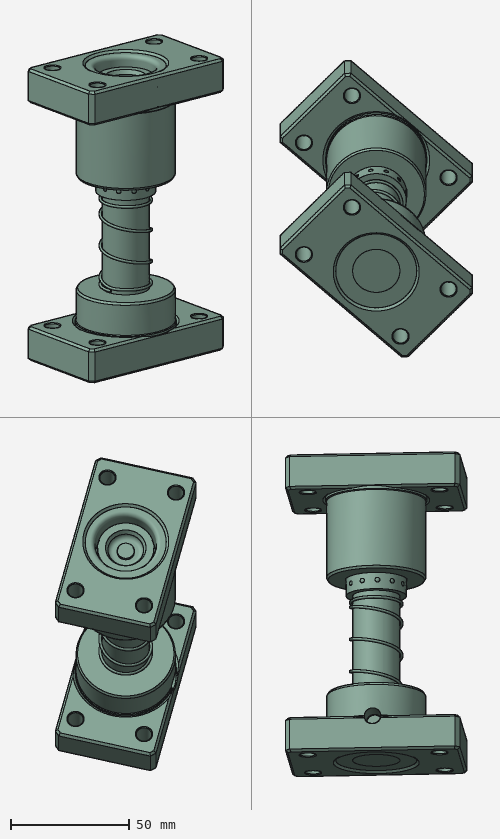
import cadquery as cq
import math

HEIGHT = 130.0
OVERLAP = 1.3

PLATE_WIDTH = 44.0
PLATE_LENGTH = 74.1
PLATE_THICKNESS = 15.1
PLATE_ANGLE = 23.4
CORNER_CHAMFER = 2.0
EDGE_CHAMFER = 1.0
LIP_THICKNESS = 5.2
HOLE_MOUTH_CHAMFER = 1.2
BOLT_SPACING_X = 29.9
BOLT_SPACING_Y = 55.9
BOLT_RADIUS = 3.2
BOLT_CHAMFER = 0.4

POST_RADIUS = 10.0
BODY_RADIUS = 21.0
NECK_RADIUS = 17.2
BODY_CHAMFER_HEIGHT = 1.0
BODY_CHAMFER_WIDTH = 0.6
COLLAR_TOP = 29.9
SLEEVE_BOTTOM = 80.0
FLANGE_RADIUS = 21.5
SLEEVE_FLANGE_PROUD = 0.4
FLARE_HEIGHT = 0.4
BORE_RADIUS = 13.0
BORE_ROUNDING = 2.0
NECK_RECESS = EDGE_CHAMFER

RADIAL_HOLE_RADIUS = 3.5
RADIAL_HOLE_FLOOR = 8.7

CAP_RADIUS = 12.0
CAP_TOP = 124.3
CAP_BOTTOM = 119.1
DISH_MOUTH_RADIUS = 8.6
DISH_WALL_RADIUS = 7.5
DISH_WALL_DEPTH = 1.8
DISH_FLOOR_RADIUS = 5.5
DISH_FLOOR_DEPTH = DISH_WALL_DEPTH + DISH_WALL_RADIUS - DISH_FLOOR_RADIUS
SCREW_RADIUS = 3.6
SCREW_RISE = 1.3
SCREW_DEPTH = 10.4

CAGE_RADIUS = 12.7
CAGE_BOTTOM = 72.9
BALL_COUNT = 12
BALL_RADIUS = 1.4
BALL_CIRCLE_RADIUS = 11.7
BALL_HEIGHT = 3.9

SPRING_RADIUS = 10.8
WIRE_RADIUS = 0.58
ACTIVE_TOP = 68.9
ACTIVE_BOTTOM = 32.5
ACTIVE_PITCH = 14.0
CLOSED_PITCH = 1.3
SPRING_START_ANGLE = 95.0
SPANS_PER_TURN = 12


def cylinder(radius, bottom, top):
    return cq.Workplane("XY").workplane(offset=bottom).circle(radius).extrude(top - bottom)


def revolved(profile):
    """Turn a half profile in the XZ plane about the Z axis."""
    return profile.close().revolve(360, (0, 0, 0), (0, 1, 0))


def make_plate():
    """Plate resting on z = 0, its stepped hole opening wide at the top face."""
    plate = (
        cq.Workplane("XY")
        .rect(PLATE_WIDTH, PLATE_LENGTH)
        .extrude(PLATE_THICKNESS)
        .edges("|Z")
        .chamfer(CORNER_CHAMFER)
        .faces("<Z or >Z")
        .edges()
        .chamfer(EDGE_CHAMFER)
    )
    hole = revolved(
        cq.Workplane("XZ")
        .lineTo(NECK_RADIUS + EDGE_CHAMFER, 0)
        .lineTo(NECK_RADIUS, EDGE_CHAMFER)
        .lineTo(NECK_RADIUS, LIP_THICKNESS)
        .lineTo(FLANGE_RADIUS, LIP_THICKNESS)
        .lineTo(FLANGE_RADIUS, PLATE_THICKNESS - HOLE_MOUTH_CHAMFER)
        .lineTo(FLANGE_RADIUS + HOLE_MOUTH_CHAMFER, PLATE_THICKNESS)
        .lineTo(0, PLATE_THICKNESS)
    )
    bolt_hole = revolved(
        cq.Workplane("XZ")
        .lineTo(BOLT_RADIUS + BOLT_CHAMFER, 0)
        .lineTo(BOLT_RADIUS, BOLT_CHAMFER)
        .lineTo(BOLT_RADIUS, PLATE_THICKNESS - BOLT_CHAMFER)
        .lineTo(BOLT_RADIUS + BOLT_CHAMFER, PLATE_THICKNESS)
        .lineTo(0, PLATE_THICKNESS)
    ).val()
    bolt_holes = (
        cq.Workplane("XY")
        .rarray(BOLT_SPACING_X, BOLT_SPACING_Y, 2, 2)
        .eachpoint(lambda place: bolt_hole.moved(place))
    )
    return plate.cut(hole).cut(bolt_holes).rotate((0, 0, 0), (0, 0, 1), PLATE_ANGLE)


def make_radial_hole():
    """Cutter at the lower plate's top face, running from a long side into the post."""
    length = PLATE_WIDTH / 2 + OVERLAP - RADIAL_HOLE_FLOOR
    return (
        cq.Workplane("YZ", origin=(-RADIAL_HOLE_FLOOR, 0, PLATE_THICKNESS))
        .circle(RADIAL_HOLE_RADIUS)
        .extrude(-length)
        .rotate((0, 0, 0), (0, 0, 1), PLATE_ANGLE)
    )


def make_collar():
    return revolved(
        cq.Workplane("XZ")
        .moveTo(POST_RADIUS, NECK_RECESS)
        .lineTo(NECK_RADIUS, NECK_RECESS)
        .lineTo(NECK_RADIUS, LIP_THICKNESS)
        .lineTo(FLANGE_RADIUS, LIP_THICKNESS)
        .lineTo(FLANGE_RADIUS, PLATE_THICKNESS)
        .lineTo(BODY_RADIUS, PLATE_THICKNESS + FLARE_HEIGHT)
        .lineTo(BODY_RADIUS, COLLAR_TOP - BODY_CHAMFER_HEIGHT)
        .lineTo(BODY_RADIUS - BODY_CHAMFER_WIDTH, COLLAR_TOP)
        .lineTo(POST_RADIUS, COLLAR_TOP)
    )


def make_sleeve():
    flange_bottom = HEIGHT - PLATE_THICKNESS - SLEEVE_FLANGE_PROUD
    shoulder = HEIGHT - LIP_THICKNESS
    top = HEIGHT - NECK_RECESS
    arc_offset = BORE_ROUNDING * (1 - math.sqrt(0.5))
    return revolved(
        cq.Workplane("XZ")
        .moveTo(BORE_RADIUS, SLEEVE_BOTTOM)
        .lineTo(BODY_RADIUS - BODY_CHAMFER_WIDTH, SLEEVE_BOTTOM)
        .lineTo(BODY_RADIUS, SLEEVE_BOTTOM + BODY_CHAMFER_HEIGHT)
        .lineTo(BODY_RADIUS, flange_bottom - FLARE_HEIGHT)
        .lineTo(FLANGE_RADIUS, flange_bottom)
        .lineTo(FLANGE_RADIUS, shoulder)
        .lineTo(NECK_RADIUS, shoulder)
        .lineTo(NECK_RADIUS, top)
        .lineTo(BORE_RADIUS + BORE_ROUNDING, top)
        .threePointArc(
            (BORE_RADIUS + arc_offset, top - arc_offset),
            (BORE_RADIUS, top - BORE_ROUNDING),
        )
    )


def make_screw():
    head_top = CAP_TOP - DISH_FLOOR_DEPTH + SCREW_RISE
    return cylinder(SCREW_RADIUS, CAP_BOTTOM - SCREW_DEPTH, head_top)


def make_post(screw, radial_hole):
    return cylinder(POST_RADIUS, NECK_RECESS, CAP_BOTTOM).cut(screw).cut(radial_hole)


def make_cap(screw):
    """Round cap with a dished top, bored for the screw."""
    dish_radius = DISH_WALL_RADIUS - DISH_FLOOR_RADIUS
    dish_floor = CAP_TOP - DISH_FLOOR_DEPTH
    arc_reach = dish_radius * math.sqrt(0.5)
    cap = revolved(
        cq.Workplane("XZ")
        .moveTo(0, CAP_BOTTOM)
        .lineTo(CAP_RADIUS, CAP_BOTTOM)
        .lineTo(CAP_RADIUS, CAP_TOP)
        .lineTo(DISH_MOUTH_RADIUS, CAP_TOP)
        .lineTo(DISH_WALL_RADIUS, CAP_TOP - DISH_WALL_DEPTH)
        .threePointArc(
            (DISH_FLOOR_RADIUS + arc_reach, dish_floor + dish_radius - arc_reach),
            (DISH_FLOOR_RADIUS, dish_floor),
        )
        .lineTo(0, dish_floor)
    )
    return cap.cut(screw)


def make_cage():
    """Tube around the post with a ring of balls held in its wall."""
    cage = cylinder(CAGE_RADIUS, CAGE_BOTTOM, CAP_BOTTOM)
    balls = (
        cq.Workplane("XY")
        .workplane(offset=CAGE_BOTTOM + BALL_HEIGHT)
        .polarArray(BALL_CIRCLE_RADIUS, 0, 360, BALL_COUNT)
        .sphere(BALL_RADIUS)
    )
    return cage.union(balls).cut(cylinder(POST_RADIUS, CAGE_BOTTOM, CAP_BOTTOM))


def make_spring():
    """Round wire that descends as it turns anticlockwise seen from above."""
    active_turns = (ACTIVE_TOP - ACTIVE_BOTTOM) / ACTIVE_PITCH
    total_turns = active_turns + 2
    start_angle = math.radians(SPRING_START_ANGLE)

    def wire_point(turns):
        angle = start_angle + 2 * math.pi * turns
        active = min(max(turns, 0), active_turns)
        closed = turns - active
        height = ACTIVE_TOP - active * ACTIVE_PITCH - closed * CLOSED_PITCH
        return cq.Vector(SPRING_RADIUS * math.cos(angle), SPRING_RADIUS * math.sin(angle), height)

    spans = round(total_turns * SPANS_PER_TURN)
    path = cq.Workplane("XY").spline([wire_point(i * total_turns / spans - 1) for i in range(spans + 1)])
    tangent = cq.Vector(-math.sin(start_angle), math.cos(start_angle), 0)
    section = cq.Workplane(cq.Plane(origin=wire_point(-1), normal=tangent)).circle(WIRE_RADIUS)
    return section.sweep(path, isFrenet=True)


radial_hole = make_radial_hole()
lower_plate = make_plate().cut(radial_hole)
upper_plate = make_plate().mirror("XY").translate((0, 0, HEIGHT))
collar = make_collar().cut(radial_hole)
sleeve = make_sleeve()
screw = make_screw()
post = make_post(screw, radial_hole)
cap = make_cap(screw)
cage = make_cage()
spring = make_spring()

bodies = [lower_plate, upper_plate, collar, sleeve, post, cap, screw, cage, spring]
result = cq.Compound.makeCompound([body.solids().val() for body in bodies])